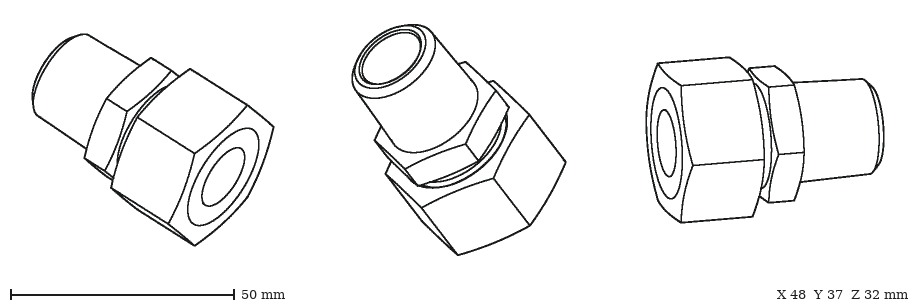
import cadquery as cq
import math

total_length = 48
thread_end = 19.95
body_hex_end = 27.0
neck_end = 29.6
nut_start = 30.0

bore_radius = 7.5
bore_chamfer = 0.5
tip_radius = 9.1
tip_chamfer_length = 1.6
thread_small_radius = 10.7
thread_large_radius = 11.3
body_hex_flats = 27.0
neck_radius = 11.85
spigot_radius = 12.5
spigot_lead_in_angle = 30

nut_hex_flats = 32.0
nut_mouth_chamfer = 0.75

hex_sides = 6
hex_chamfer_angle = 15


def revolved(points):
    """Turn a closed outline of (x, radius) points around the X axis."""
    return cq.Workplane("XY").polyline(points).close().revolve(360, (0, 0, 0), (1, 0, 0))


def chamfered_hexagon(start, end, across_flats):
    """Hexagonal prism along X, corners toward +Y and -Y, with both ends turned to a cone."""
    corner_radius = across_flats / 2 / math.cos(math.pi / hex_sides)
    face_radius = across_flats / 2
    setback = (corner_radius - face_radius) * math.tan(math.radians(hex_chamfer_angle))
    prism = (
        cq.Workplane("YZ")
        .workplane(offset=start)
        .polygon(hex_sides, 2 * corner_radius)
        .extrude(end - start)
    )
    envelope = revolved([
        (start, 0),
        (start, face_radius),
        (start + setback, corner_radius),
        (end - setback, corner_radius),
        (end, face_radius),
        (end, 0),
    ])
    return prism.intersect(envelope)


def spigot_lead_in_end():
    """X station where the spigot's lead-in cone reaches full radius."""
    return neck_end + (spigot_radius - neck_radius) / math.tan(math.radians(spigot_lead_in_angle))


def make_body():
    """Taper-thread stub, hexagon, neck and spigot around one through bore."""
    turned = revolved([
        (0, 0),
        (0, tip_radius),
        (tip_chamfer_length, thread_small_radius),
        (thread_end, thread_large_radius),
        (thread_end, neck_radius),
        (neck_end, neck_radius),
        (spigot_lead_in_end(), spigot_radius),
        (total_length, spigot_radius),
        (total_length, 0),
    ])
    bore = revolved([
        (0, 0),
        (0, bore_radius + bore_chamfer),
        (bore_chamfer, bore_radius),
        (total_length, bore_radius),
        (total_length, 0),
    ])
    hexagon = chamfered_hexagon(thread_end, body_hex_end, body_hex_flats)
    return turned.union(hexagon).cut(bore)


def make_nut():
    """Union nut whose through hole fits the spigot, with a chamfered mouth."""
    hole = revolved([
        (nut_start, 0),
        (nut_start, spigot_radius + nut_mouth_chamfer),
        (nut_start + nut_mouth_chamfer, spigot_radius),
        (total_length, spigot_radius),
        (total_length, 0),
    ])
    return chamfered_hexagon(nut_start, total_length, nut_hex_flats).cut(hole)


body = make_body()
nut = make_nut()
result = cq.Compound.makeCompound([body.solids().val(), nut.solids().val()])